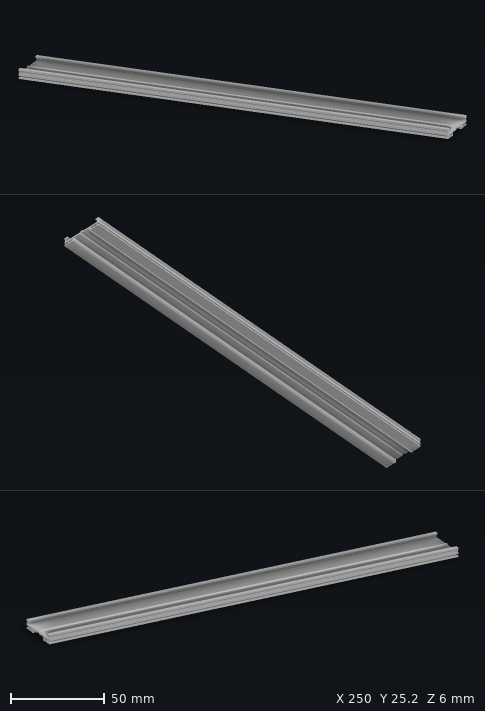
import cadquery as cq

length = 250.0
width = 25.2
height = 6.0
half_width = width / 2

web_bottom = 2.2
web_top = 3.2

wall_thickness = 1.0
lip_reach = 2.2
lip_edge_height = 0.8
lip_slope_height = 1.0

wall_groove_bottom = 3.5
wall_groove_top = 5.0
wall_groove_depth = 0.38
wall_groove_slope_height = 0.5

leg_inner = 5.5
leg_thickness = 1.0
flange_bottom = 0.5
flange_top = 1.2
leg_foot_inner = 0.5

flange_groove_center = 10.5
flange_groove_width = 1.0
flange_groove_depth = 0.38

bead_half_width = 1.0
bead_rise = 0.8


def extrude_profile(points):
    """Extrude a closed (Y, Z) outline over the length, centred on X."""
    return cq.Workplane("YZ").polyline(points).close().extrude(length / 2, both=True)


def make_web():
    """Flat web whose middle bows up into a bead of even rise on both faces."""
    return (
        cq.Workplane("YZ")
        .moveTo(-half_width, web_bottom)
        .lineTo(-bead_half_width, web_bottom)
        .threePointArc((0, web_bottom + bead_rise), (bead_half_width, web_bottom))
        .lineTo(half_width, web_bottom)
        .lineTo(half_width, web_top)
        .lineTo(bead_half_width, web_top)
        .threePointArc((0, web_top + bead_rise), (-bead_half_width, web_top))
        .lineTo(-half_width, web_top)
        .close()
        .extrude(length / 2, both=True)
    )


def make_side_wall():
    """Wall and lip on the +Y side."""
    wall_inner = half_width - wall_thickness
    lip_inner = half_width - lip_reach
    groove_floor = half_width - wall_groove_depth
    lip_bottom = height - lip_edge_height
    return extrude_profile([
        (half_width, web_bottom),
        (half_width, wall_groove_bottom),
        (groove_floor, wall_groove_bottom),
        (groove_floor, wall_groove_top - wall_groove_slope_height),
        (half_width, wall_groove_top),
        (half_width, height),
        (lip_inner, height),
        (lip_inner, lip_bottom),
        (wall_inner, lip_bottom - lip_slope_height),
        (wall_inner, web_bottom),
    ])


def make_lower_flange():
    """Leg, slanted foot and grooved flange on the +Y side."""
    leg_outer = leg_inner + leg_thickness
    groove_inner = flange_groove_center - flange_groove_width / 2
    groove_outer = flange_groove_center + flange_groove_width / 2
    groove_floor = flange_top - flange_groove_depth
    return extrude_profile([
        (leg_inner, web_top),
        (leg_inner, leg_foot_inner),
        (leg_outer, 0),
        (leg_outer, flange_bottom),
        (half_width, flange_bottom),
        (half_width, flange_top),
        (groove_outer, flange_top),
        (groove_outer, groove_floor),
        (groove_inner, groove_floor),
        (groove_inner, flange_top),
        (leg_outer, flange_top),
        (leg_outer, web_top),
    ])


side_features = make_side_wall().union(make_lower_flange())
result = make_web().union(side_features).union(side_features.mirror("XZ"))